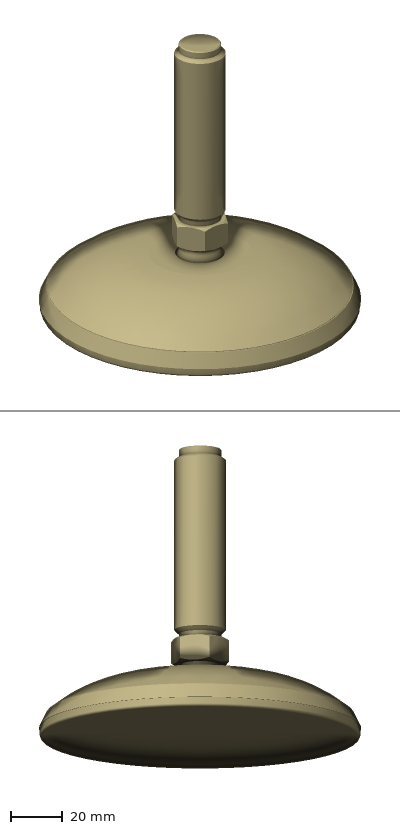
import cadquery as cq
import math

rim_radius = 62.5
wall_radius = 62.1
bottom_fillet = 1.0
rim_bottom_z = 3.5
rim_top_z = 9.2
rim_top_radius = 59.6
dome_edge_radius = 59.2
dome_edge_z = 9.5
dome_top_radius = 20.0
dome_top_z = 23.5

ball_radius = 18.4 / 2
neck_radius = 14.2 / 2
ball_center_z = 21.0
socket_radius = 9.6

hex_across_flats = 20.0
hex_bottom_z = 28.8
hex_top_z = 38.8
hex_chamfer_angle = 30.0

spindle_radius = 10.0
end_radius = 16.5 / 2
undercut_top_z = 40.8
undercut_taper_height = 1.6
total_height = 113.8
tip_height = 3.0
tip_taper_height = 1.2
tip_chamfer = 0.4


def make_plate():
    """Domed disc with a short edge step above a conical rim; the dome is tangent to its flat top."""
    dome_drop = dome_top_z - dome_edge_z
    dome_run = dome_edge_radius - dome_top_radius
    dome_radius = (dome_run**2 + dome_drop**2) / (2 * dome_drop)
    half_angle = math.asin(dome_run / dome_radius) / 2
    dome_middle = (
        dome_top_radius + dome_radius * math.sin(half_angle),
        dome_top_z - dome_radius * (1 - math.cos(half_angle)),
    )
    profile = (
        cq.Workplane("XZ")
        .lineTo(wall_radius - bottom_fillet, 0)
        .radiusArc((wall_radius, bottom_fillet), -bottom_fillet)
        .lineTo(wall_radius, rim_bottom_z)
        .lineTo(rim_radius, rim_bottom_z)
        .lineTo(rim_top_radius, rim_top_z)
        .lineTo(dome_edge_radius, rim_top_z)
        .lineTo(dome_edge_radius, dome_edge_z)
        .threePointArc(dome_middle, (dome_top_radius, dome_top_z))
        .lineTo(0, dome_top_z)
        .close()
    )
    return profile.revolve(360, (0, 0), (0, 1))


def make_socket():
    """Clearance around the upper half of the ball."""
    depth = dome_top_z - ball_center_z
    return cq.Workplane("XY").workplane(offset=ball_center_z).circle(socket_radius).extrude(depth)


def make_ball():
    return cq.Workplane("XY").sphere(ball_radius).translate((0, 0, ball_center_z))


def make_hex_collar():
    """Hexagon whose corners are cut by a cone at both ends."""
    height = hex_top_z - hex_bottom_z
    corner_radius = hex_across_flats / 2 / math.cos(math.pi / 6)
    flat_radius = hex_across_flats / 2
    corner_drop = (corner_radius - flat_radius) * math.tan(math.radians(hex_chamfer_angle))
    prism = cq.Workplane("XY").polygon(6, 2 * corner_radius).extrude(height)
    envelope = (
        cq.Workplane("XZ")
        .lineTo(flat_radius, 0)
        .lineTo(corner_radius, corner_drop)
        .lineTo(corner_radius, height - corner_drop)
        .lineTo(flat_radius, height)
        .lineTo(0, height)
        .close()
        .revolve(360, (0, 0), (0, 1))
    )
    return prism.intersect(envelope).translate((0, 0, hex_bottom_z))


def make_spindle():
    """Neck, undercut, shank and reduced tip turned as one profile from the ball up."""
    tip_bottom_z = total_height - tip_height
    profile = (
        cq.Workplane("XZ")
        .moveTo(0, ball_center_z)
        .lineTo(neck_radius, ball_center_z)
        .lineTo(neck_radius, hex_bottom_z)
        .lineTo(end_radius, hex_bottom_z)
        .lineTo(end_radius, undercut_top_z)
        .lineTo(spindle_radius, undercut_top_z + undercut_taper_height)
        .lineTo(spindle_radius, tip_bottom_z - tip_taper_height)
        .lineTo(end_radius, tip_bottom_z)
        .lineTo(end_radius, total_height - tip_chamfer)
        .lineTo(end_radius - tip_chamfer, total_height)
        .lineTo(0, total_height)
        .close()
    )
    return profile.revolve(360, (0, 0), (0, 1))


result = (
    make_plate()
    .cut(make_socket())
    .union(make_ball())
    .union(make_spindle())
    .union(make_hex_collar())
)